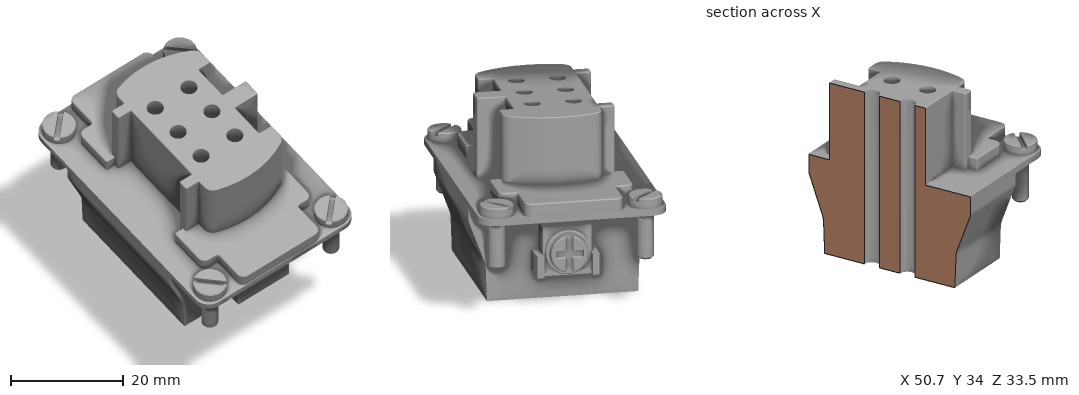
import cadquery as cq
import math

plate_length = 50.7
plate_width = 34.0
plate_corner_radius = 3.0
plate_bottom = 17.35
plate_top = 18.55

platform_top = 21.0
platform_edge_radius = 0.25
platform_outer_x = 25.25
platform_step_x = 18.25
platform_inner_x = 9.9
platform_narrow_y = 8.85
platform_wide_y = 12.15
platform_outer_radius = 1.35
platform_notch_radius = 0.5
platform_inner_radius = 0.35

tower_top = 33.5
tower_edge_radius = 0.2
tower_end_radius = 19.25
tower_end_x = 15.3
tower_corner_radius = 2.0
tower_back_y = 10.2
tower_front_y = -7.5
recess_half_width = 8.85
recess_y = 7.5
key_half_width = 1.75
key_y = 12.7
rail_outer_x = 10.9
rail_y = -10.3
rib_edge_radius = 0.3

hole_diameter = 3.05
hole_pitch_x = 6.7
hole_pitch_y = 7.5

body_length = 29.7
body_bend_upper_z = 15.0
body_bend_lower_z = 6.85
body_bend_lower_y = 13.95
body_bottom_y = 13.7
upper_bend_radius = 2.05
lower_bend_radius = 4.3

block_bottom = 5.25
ear_outer_x = 20.0
ear_width = 11.25
ear_top = 9.25
lug_outer_x = 16.85
lug_width = 8.75
terminal_outer_x = 18.9
terminal_top = 14.2

terminal_screw_z = 9.7
washer_radius = 4.05
washer_outer_x = 19.75
terminal_head_radius = 3.35
terminal_head_outer_x = 21.0
terminal_edge_chamfer = 0.15
cross_depth = 0.8
cross_arm_length = 5.05
upright_slot_width = 1.5
upright_slot_floor = 0.85
level_slot_width = 1.45
level_slot_floor = 1.1

screw_x = 22.0
screw_y = 13.5
screw_head_radius = 3.0
screw_head_top = 20.45
screw_head_chamfer = 0.15
screw_slot_width = 1.05
screw_slot_depth = 0.9
shank_radius = 1.495
shank_bottom = 8.55
shank_chamfer = 0.4

SIDES = (-1, 1)
pick_reach = 0.025


def box(x_range, width, z_range):
    """Box between two X values and two Z values, centred on Y = 0."""
    length = x_range[1] - x_range[0]
    height = z_range[1] - z_range[0]
    center_x = sum(x_range) / 2
    return cq.Workplane("XY", origin=(center_x, 0, z_range[0])).box(
        length, width, height, centered=(True, True, False)
    )


def upright_edges_at(points, z_range):
    """Selector for the upright edges that stand on the given XY points."""
    low, high = z_range
    selector = None
    for x, y in points:
        pick = cq.selectors.BoxSelector(
            (x - pick_reach, y - pick_reach, low), (x + pick_reach, y + pick_reach, high)
        )
        selector = pick if selector is None else selector + pick
    return selector


def make_plate():
    plate = box((-plate_length / 2, plate_length / 2), plate_width, (plate_bottom, plate_top))
    return plate.edges("|Z").fillet(plate_corner_radius)


def make_platform():
    """Stepped platform at the -X end; its inner side runs on under the tower."""
    half_outline = [
        (-platform_outer_x, platform_narrow_y),
        (-platform_step_x, platform_narrow_y),
        (-platform_step_x, platform_wide_y),
        (-platform_inner_x, platform_wide_y),
    ]
    mirrored = [(x, -y) for x, y in reversed(half_outline)]
    z_range = (plate_top, platform_top)
    platform = (
        cq.Workplane("XY", origin=(0, 0, plate_top))
        .polyline(half_outline + mirrored)
        .close()
        .extrude(platform_top - plate_top)
    )
    corner_radii = (
        platform_outer_radius,
        platform_notch_radius,
        platform_outer_radius,
        platform_inner_radius,
    )
    for (x, y), radius in zip(half_outline, corner_radii):
        corners = [(x, y), (x, -y)]
        platform = platform.edges(upright_edges_at(corners, z_range)).fillet(radius)
    return platform.faces(">Z").edges().fillet(platform_edge_radius)


def tower_end_at(y):
    """X distance from the centre to the curved tower end at the given Y."""
    sagitta = tower_end_radius - math.sqrt(tower_end_radius**2 - y**2)
    return tower_end_x - sagitta


def make_tower():
    back_x = tower_end_at(tower_back_y)
    front_x = tower_end_at(tower_front_y)
    z_range = (plate_top, tower_top)
    tower = (
        cq.Workplane("XY", origin=(0, 0, plate_top))
        .moveTo(-back_x, tower_back_y)
        .lineTo(-recess_half_width, tower_back_y)
        .lineTo(-recess_half_width, recess_y)
        .lineTo(-key_half_width, recess_y)
        .lineTo(-key_half_width, key_y)
        .lineTo(key_half_width, key_y)
        .lineTo(key_half_width, recess_y)
        .lineTo(recess_half_width, recess_y)
        .lineTo(recess_half_width, tower_back_y)
        .lineTo(back_x, tower_back_y)
        .threePointArc((tower_end_x, 0), (front_x, tower_front_y))
        .lineTo(rail_outer_x, tower_front_y)
        .lineTo(rail_outer_x, rail_y)
        .lineTo(recess_half_width, rail_y)
        .lineTo(recess_half_width, tower_front_y)
        .lineTo(-recess_half_width, tower_front_y)
        .lineTo(-recess_half_width, rail_y)
        .lineTo(-rail_outer_x, rail_y)
        .lineTo(-rail_outer_x, tower_front_y)
        .lineTo(-front_x, tower_front_y)
        .threePointArc((-tower_end_x, 0), (-back_x, tower_back_y))
        .close()
        .extrude(tower_top - plate_top)
    )
    end_corners = []
    rib_corners = []
    for side in SIDES:
        end_corners += [(side * back_x, tower_back_y), (side * front_x, tower_front_y)]
        rib_corners += [
            (side * recess_half_width, tower_back_y),
            (side * recess_half_width, recess_y),
            (side * key_half_width, key_y),
            (side * rail_outer_x, rail_y),
            (side * recess_half_width, rail_y),
        ]
    tower = tower.edges(upright_edges_at(end_corners, z_range)).fillet(tower_corner_radius)
    tower = tower.edges(upright_edges_at(rib_corners, z_range)).fillet(rib_edge_radius)
    return tower.faces(">Z").edges().fillet(tower_edge_radius)


def make_body():
    """Tapering body with rounded bends on both long sides."""
    half_width = plate_width / 2
    half_profile = [
        (half_width, plate_bottom),
        (half_width, body_bend_upper_z),
        (body_bend_lower_y, body_bend_lower_z),
        (body_bottom_y, 0),
    ]
    mirrored = [(-y, z) for y, z in reversed(half_profile)]
    body = (
        cq.Workplane("YZ")
        .polyline(half_profile + mirrored)
        .close()
        .extrude(body_length / 2, both=True)
    )
    bends = (
        (half_width, body_bend_upper_z, upper_bend_radius),
        (body_bend_lower_y, body_bend_lower_z, lower_bend_radius),
    )
    for y, z, radius in bends:
        for side in SIDES:
            bend = cq.selectors.BoxSelector(
                (-body_length, side * y - pick_reach, z - pick_reach),
                (body_length, side * y + pick_reach, z + pick_reach),
            )
            body = body.edges(bend).fillet(radius)
    return body


def make_end_blocks():
    """Lugs and ears on both ends; the -X end carries the terminal block between its ears."""
    lugs = box((-lug_outer_x, lug_outer_x), lug_width, (block_bottom, plate_bottom))
    ears = box((-ear_outer_x, ear_outer_x), ear_width, (block_bottom, ear_top))
    gap = box((-ear_outer_x, -terminal_outer_x), lug_width, (block_bottom, ear_top))
    terminal = box((-terminal_outer_x, 0), lug_width, (block_bottom, terminal_top))
    return lugs.union(ears.cut(gap)).union(terminal)


def make_slot_cutter(plane, width, floor_width, length):
    """V-sided slot cut into the terminal screw head, centred on the head."""
    floor_x = -terminal_head_outer_x + cross_depth
    return (
        cq.Workplane(plane, origin=(0, 0, terminal_screw_z))
        .polyline([
            (-terminal_head_outer_x, -width / 2),
            (-terminal_head_outer_x, width / 2),
            (floor_x, floor_width / 2),
            (floor_x, -floor_width / 2),
        ])
        .close()
        .extrude(length / 2, both=True)
    )


def make_terminal_screw():
    """Cross-slotted screw head on a washer, facing -X."""
    start = cq.Workplane("YZ", origin=(-terminal_outer_x, 0, terminal_screw_z))
    washer = start.circle(washer_radius).extrude(terminal_outer_x - washer_outer_x)
    head = start.circle(terminal_head_radius).extrude(terminal_outer_x - terminal_head_outer_x)
    washer = washer.faces("<X").edges().chamfer(terminal_edge_chamfer)
    head = head.faces("<X").edges().chamfer(terminal_edge_chamfer)
    upright = make_slot_cutter("XY", upright_slot_width, upright_slot_floor, 2 * terminal_head_radius)
    level = make_slot_cutter("XZ", level_slot_width, level_slot_floor, cross_arm_length)
    return washer.union(head.cut(upright).cut(level))


def make_corner_screw(side_x, side_y):
    """Slotted screw whose slot lies across the diagonal of its plate corner."""
    center = (side_x * screw_x, side_y * screw_y)
    head = (
        cq.Workplane("XY", origin=(*center, plate_top))
        .circle(screw_head_radius)
        .extrude(screw_head_top - plate_top)
        .faces(">Z")
        .edges()
        .chamfer(screw_head_chamfer)
    )
    slot = (
        cq.Workplane("XY", origin=(*center, screw_head_top - screw_slot_depth))
        .transformed(rotate=(0, 0, -45 * side_x * side_y))
        .rect(2 * screw_head_radius, screw_slot_width)
        .extrude(screw_slot_depth)
    )
    shank = (
        cq.Workplane("XY", origin=(*center, shank_bottom))
        .circle(shank_radius)
        .extrude(plate_top - shank_bottom)
        .faces("<Z")
        .edges()
        .chamfer(shank_chamfer)
    )
    return head.cut(slot).union(shank)


platform = make_platform()
result = make_plate().union(make_body()).union(make_end_blocks()).union(make_tower())
result = result.union(platform).union(platform.mirror("YZ")).union(make_terminal_screw())
for side_x in SIDES:
    for side_y in SIDES:
        result = result.union(make_corner_screw(side_x, side_y))

contact_holes = (
    cq.Workplane("XY")
    .rarray(hole_pitch_x, hole_pitch_y, 3, 2)
    .circle(hole_diameter / 2)
    .extrude(tower_top)
)
result = result.cut(contact_holes)